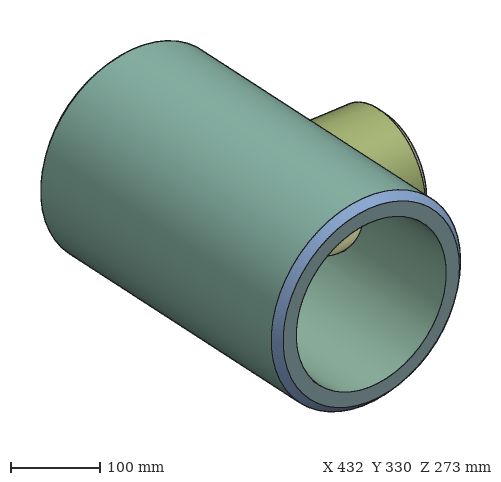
import cadquery as cq

run_length = 432.0
run_diameter = 273.0
run_bore = 216.0

branch_diameter = 168.5
branch_wall = 18.0
branch_bore = branch_diameter - 2 * branch_wall
overall_depth = 330.0
branch_reach = overall_depth - run_diameter / 2

bevel = 9.5


def main_pipe():
    """Solid main cylinder with both ends bevelled."""
    cylinder = cq.Workplane("YZ").circle(run_diameter / 2).extrude(run_length / 2, both=True)
    return cylinder.faces("<X or >X").chamfer(bevel)


def branch_cylinder(diameter):
    """Solid cylinder from the main axis to the open end of the branch."""
    return cq.Workplane("XZ").circle(diameter / 2).extrude(-branch_reach)


branch = branch_cylinder(branch_diameter).faces(">Y").chamfer(bevel)
main_passage = cq.Workplane("YZ").circle(run_bore / 2).extrude(run_length / 2, both=True)
branch_passage = branch_cylinder(branch_bore)

result = main_pipe().union(branch).cut(main_passage).cut(branch_passage)